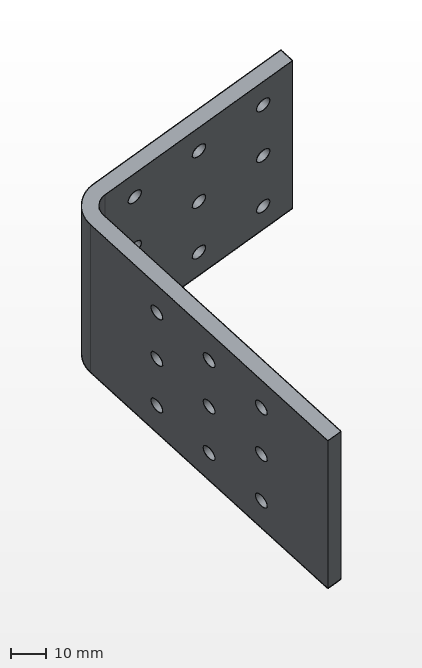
import cadquery as cq

length = 110.0
depth = 80.0
height = 70.0
thickness = 5.0

inner_radius = 5.0
outer_radius = inner_radius + thickness

hole_diameter = 5.0
holes_per_side = 3
long_leg_pitch = 22.0
long_leg_grid_x = 60.0
short_leg_pitch = 24.0
short_leg_grid_y = depth - height / 2


def bent_plate():
    """L-shaped plate with its outer corner at the origin and a rounded bend."""
    outline = [
        (0, 0),
        (length, 0),
        (length, thickness),
        (thickness, thickness),
        (thickness, depth),
        (0, depth),
    ]
    plate = cq.Workplane("XY").polyline(outline).close().extrude(height)
    inside_corner = cq.selectors.NearestToPointSelector((thickness, thickness, height / 2))
    plate = plate.edges(inside_corner).fillet(inner_radius)
    outside_corner = cq.selectors.NearestToPointSelector((0, 0, height / 2))
    return plate.edges(outside_corner).fillet(outer_radius)


def hole_grid(plane, grid_center, pitch, drill_depth):
    """Square grid of cylinders for cutting the holes through one leg."""
    return (
        cq.Workplane(plane)
        .center(*grid_center)
        .rarray(pitch, pitch, holes_per_side, holes_per_side)
        .circle(hole_diameter / 2)
        .extrude(drill_depth)
    )


long_leg_holes = hole_grid("XZ", (long_leg_grid_x, height / 2), long_leg_pitch, -thickness)
short_leg_holes = hole_grid("YZ", (short_leg_grid_y, height / 2), short_leg_pitch, thickness)

result = bent_plate().cut(long_leg_holes).cut(short_leg_holes)